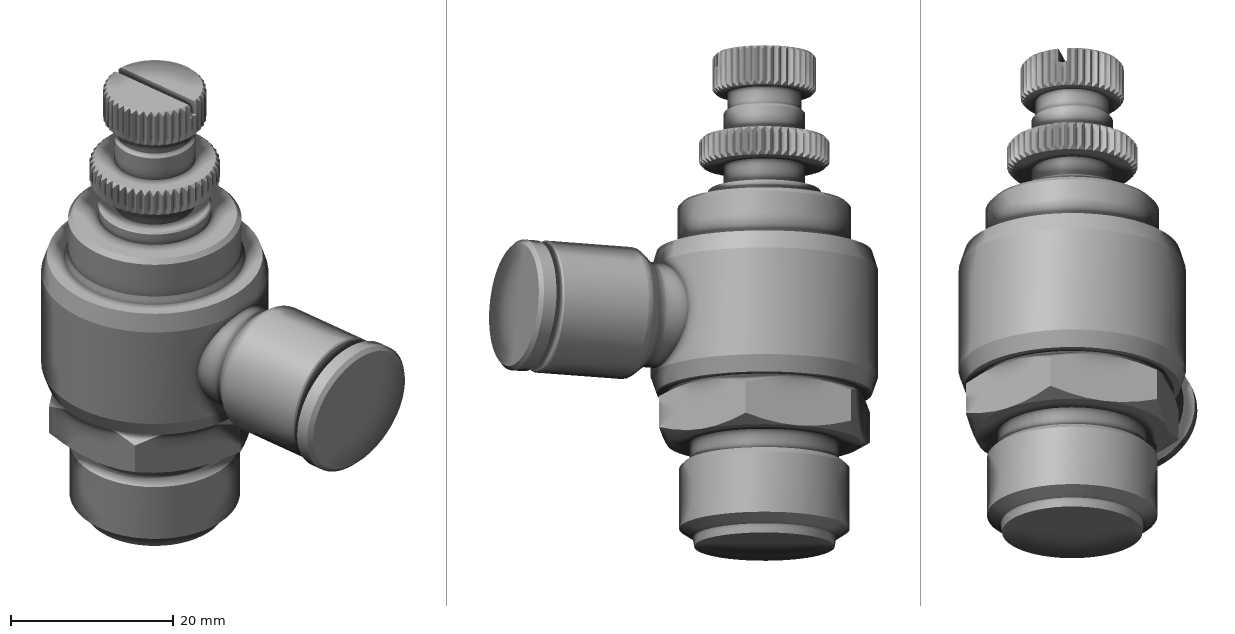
import cadquery as cq
import math

tip_radius = 8.65
tip_shoulder_radius = 8.85
tip_height = 1.1
thread_radius = 10.5
thread_start_z = 2.2
thread_end_z = 9.8
relief_start_z = 10.5
relief_radius = 9.2
relief_shoulder_radius = 9.75

hex_bottom_z = 12.9
hex_top_z = 19.05
hex_across_flats = 24.0
hex_across_corners = hex_across_flats / math.cos(math.pi / 6)
hex_corner_drop = 1.1

body_diameter = 28.0
body_radius = body_diameter / 2
body_end_radius = 13.3
body_bottom_z = 19.3
body_top_z = 37.0
body_lower_edge_z = 21.3
body_upper_edge_z = 34.75

bonnet_radius = 10.7
bonnet_flare_radius = 11.2
bonnet_flare_z = 37.9
bonnet_top_z = 43.1
bonnet_chamfer = 0.55
collar_radius = 7.0
collar_top_z = 44.75
collar_chamfer = 0.2

stem_radius = 5.0
stem_neck_radius = 4.6
stem_shoulder_z = 54.45
stem_shoulder_height = stem_radius - stem_neck_radius

nut_bottom_z = 47.8
nut_top_z = 51.3
nut_tip_radius = 8.05
nut_root_radius = 7.4
nut_teeth = 46
nut_chamfer = 0.5

head_bottom_z = 56.9
head_top_z = 61.8
head_tip_radius = 6.35
head_root_radius = 5.9
head_teeth = 40
head_chamfer = 0.45
slot_width = 1.1
slot_depth = 1.85

overall_length = 46.9
arm_axis_z = 28.05
arm_neck_radius = 6.5
arm_radius = 8.15
arm_cone_start_x = 15.8
arm_cone_end_x = 17.8
arm_blend_radius = 1.25
arm_end_x = 29.5
arm_edge_chamfer = 0.2
groove_radius = 5.9
flange_start_x = 30.8
flange_end_x = overall_length - body_radius
flange_half_width = 9.3
flange_half_height = 8.05
flange_chamfer = 0.5


def turned(profile):
    """Revolve (radius, z) points, closed along the axis, about Z."""
    (_, start_z), (_, end_z) = profile[0], profile[-1]
    outline = [(0, start_z)] + profile + [(0, end_z)]
    return cq.Workplane("XZ").polyline(outline).close().revolve(360, (0, 0), (0, 1))


def chamfered_disc(radius, bottom_z, top_z, chamfer):
    """Vertical cylinder with both rims chamfered."""
    return (
        cq.Workplane("XY", origin=(0, 0, bottom_z))
        .circle(radius)
        .extrude(top_z - bottom_z)
        .edges("%CIRCLE")
        .chamfer(chamfer)
    )


def knurled_disc(tip_radius, root_radius, teeth, bottom_z, top_z, chamfer):
    """Disc with V-shaped teeth, with a groove facing +X and chamfered rims."""
    half_pitch = math.pi / teeth
    outline = []
    for i in range(2 * teeth):
        radius = tip_radius if i % 2 else root_radius
        angle = i * half_pitch
        outline.append((radius * math.cos(angle), radius * math.sin(angle)))
    star = cq.Workplane("XY", origin=(0, 0, bottom_z)).polyline(outline).close().extrude(top_z - bottom_z)
    return star.intersect(chamfered_disc(tip_radius, bottom_z, top_z, chamfer))


def make_column():
    """Threaded end, main body, bonnet and stem, turned as one piece."""
    return turned([
        (tip_radius, 0),
        (tip_shoulder_radius, tip_height),
        (thread_radius, thread_start_z),
        (thread_radius, thread_end_z),
        (relief_shoulder_radius, relief_start_z),
        (relief_radius, relief_start_z),
        (relief_radius, hex_bottom_z),
        (hex_across_flats / 2, hex_bottom_z),
        (hex_across_flats / 2, body_bottom_z),
        (body_end_radius, body_bottom_z),
        (body_radius, body_lower_edge_z),
        (body_radius, body_upper_edge_z),
        (body_end_radius, body_top_z),
        (bonnet_flare_radius, body_top_z),
        (bonnet_radius, bonnet_flare_z),
        (bonnet_radius, bonnet_top_z - bonnet_chamfer),
        (bonnet_radius - bonnet_chamfer, bonnet_top_z),
        (collar_radius, bonnet_top_z),
        (collar_radius, collar_top_z - collar_chamfer),
        (collar_radius - collar_chamfer, collar_top_z),
        (stem_radius, collar_top_z),
        (stem_radius, stem_shoulder_z),
        (stem_neck_radius, stem_shoulder_z + stem_shoulder_height),
        (stem_neck_radius, head_bottom_z),
    ])


def make_hexagon():
    """Hexagon with corners on the X axis, its corners coned off at both ends."""
    prism = (
        cq.Workplane("XY", origin=(0, 0, hex_bottom_z))
        .polygon(6, hex_across_corners)
        .extrude(hex_top_z - hex_bottom_z)
    )
    corner_cone = turned([
        (hex_across_flats / 2, hex_bottom_z),
        (hex_across_corners / 2, hex_bottom_z + hex_corner_drop),
        (hex_across_corners / 2, hex_top_z - hex_corner_drop),
        (hex_across_flats / 2, hex_top_z),
    ])
    return prism.intersect(corner_cone)


def make_screw_head():
    """Knurled head with a screwdriver slot along X."""
    head = knurled_disc(
        head_tip_radius, head_root_radius, head_teeth, head_bottom_z, head_top_z, head_chamfer
    )
    slot = cq.Workplane("XY", origin=(0, 0, head_top_z - slot_depth / 2)).box(
        2 * head_tip_radius, slot_width, slot_depth
    )
    return head.cut(slot)


def make_arm():
    """Side arm from the main axis to the groove, turned about its own axis."""
    outline = [
        (0, 0),
        (0, arm_neck_radius),
        (arm_cone_start_x, arm_neck_radius),
        (arm_cone_end_x, arm_radius),
        (arm_end_x - arm_edge_chamfer, arm_radius),
        (arm_end_x, arm_radius - arm_edge_chamfer),
        (arm_end_x, groove_radius),
        (flange_start_x, groove_radius),
        (flange_start_x, 0),
    ]
    arm = (
        cq.Workplane("XZ", origin=(0, 0, arm_axis_z))
        .polyline(outline)
        .close()
        .revolve(360, (0, 0), (1, 0))
    )
    cone_rims = arm.faces("%CONE").faces("<X").edges("%CIRCLE")
    return cone_rims.fillet(arm_blend_radius)


def make_flange():
    """Oval release ring at the end of the arm, wider along Y than along Z."""
    return (
        cq.Workplane("YZ", origin=(flange_start_x, 0, arm_axis_z))
        .ellipse(flange_half_width, flange_half_height)
        .extrude(flange_end_x - flange_start_x)
        .faces(">X")
        .chamfer(flange_chamfer)
    )


lock_nut = knurled_disc(nut_tip_radius, nut_root_radius, nut_teeth, nut_bottom_z, nut_top_z, nut_chamfer)

result = (
    make_column()
    .union(make_hexagon())
    .union(lock_nut)
    .union(make_screw_head())
    .union(make_arm())
    .union(make_flange())
)